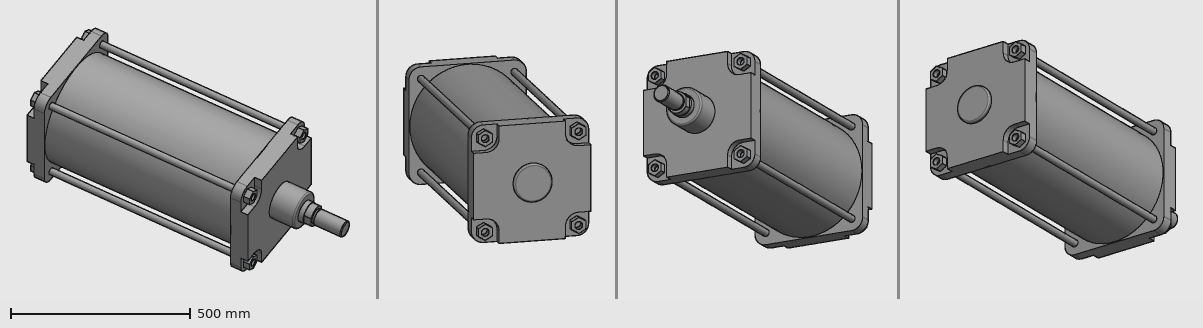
import cadquery as cq
import math


OVERALL_LENGTH = 946.0
SPIGOT_LENGTH = 10.0
CAP_THICKNESS = 57.0
BARREL_LENGTH = 607.0
BOSS_LENGTH = 80.0
COLLAR_LENGTH = 16.0
FLATS_LENGTH = 23.0
NECK_LENGTH = 7.0

REAR_CAP_X = SPIGOT_LENGTH
BARREL_X = REAR_CAP_X + CAP_THICKNESS
FRONT_CAP_X = BARREL_X + BARREL_LENGTH
BOSS_X = FRONT_CAP_X + CAP_THICKNESS
COLLAR_X = BOSS_X + BOSS_LENGTH
FLATS_X = COLLAR_X + COLLAR_LENGTH
NECK_X = FLATS_X + FLATS_LENGTH
THREAD_X = NECK_X + NECK_LENGTH

CAP_SIDE = 340.0
TIE_ROD_SPACING = 271.0
CAP_CORNER_RADIUS = (CAP_SIDE - TIE_ROD_SPACING) / 2
POCKET_SIDE = 74.0
POCKET_RADIUS = 38.0
POCKET_DEPTH = 23.0
BOSS_DIAMETER = 112.0
BOSS_FILLET = 5.0

BARREL_DIAMETER = 335.0

ROD_DIAMETER = 66.0
FLATS_DIAMETER = 62.0
FLATS_WIDTH = 55.0
THREAD_DIAMETER = 49.0
NECK_DIAMETER = 45.0
THREAD_CHAMFER = 3.0

TIE_ROD_DIAMETER = 21.0
NUT_WIDTH = 41.0
NUT_HEIGHT = 20.0
NUT_HOLE_DIAMETER = TIE_ROD_DIAMETER
NUT_HOLE_DEPTH = 18.0
NUT_HOLE_CHAMFER = 1.0
HEX_SIDES = 6


def cylinder(start_x, length, diameter):
    """Cylinder along +X, centred on the main axis."""
    return cq.Workplane("YZ", origin=(start_x, 0, 0)).circle(diameter / 2).extrude(length)


def make_cap(inner_x, outward, boss_length, rod_hole_diameter=None):
    """End cap growing from its barrel face in the outward X direction (+1 or -1)."""
    cap = (
        cq.Workplane("YZ", origin=(inner_x, 0, 0))
        .rect(CAP_SIDE, CAP_SIDE)
        .extrude(outward * CAP_THICKNESS)
        .edges("|X")
        .fillet(CAP_CORNER_RADIUS)
    )

    pocket_reach = 2 * POCKET_SIDE
    pocket_floor_x = inner_x + outward * (CAP_THICKNESS - POCKET_DEPTH)
    pockets = (
        cq.Workplane("YZ", origin=(pocket_floor_x, 0, 0))
        .rect(CAP_SIDE, CAP_SIDE, forConstruction=True)
        .vertices()
        .rect(pocket_reach, pocket_reach)
        .extrude(outward * POCKET_DEPTH)
        .edges("|X")
        .fillet(POCKET_RADIUS)
    )
    tie_rod_holes = (
        cq.Workplane("YZ", origin=(inner_x, 0, 0))
        .rect(TIE_ROD_SPACING, TIE_ROD_SPACING, forConstruction=True)
        .vertices()
        .circle(TIE_ROD_DIAMETER / 2)
        .extrude(outward * CAP_THICKNESS)
    )
    cap = cap.cut(pockets).cut(tie_rod_holes)

    full_length = CAP_THICKNESS + boss_length
    boss_end = ">X" if outward > 0 else "<X"
    boss = (
        cylinder(inner_x, outward * full_length, BOSS_DIAMETER)
        .faces(boss_end)
        .edges()
        .fillet(BOSS_FILLET)
    )
    cap = cap.union(boss)

    if rod_hole_diameter is not None:
        cap = cap.cut(cylinder(inner_x, outward * full_length, rod_hole_diameter))
    return cap


def make_piston_rod():
    """Rod from the barrel end out through the front cap, ending in a thread."""
    shaft = cylinder(FRONT_CAP_X, FLATS_X - FRONT_CAP_X, ROD_DIAMETER)
    flats = cylinder(FLATS_X, FLATS_LENGTH, FLATS_DIAMETER).intersect(
        cq.Workplane("XY").box(2 * OVERALL_LENGTH, FLATS_WIDTH, FLATS_DIAMETER)
    )
    neck = cylinder(NECK_X, NECK_LENGTH, NECK_DIAMETER)
    thread = (
        cylinder(THREAD_X, OVERALL_LENGTH - THREAD_X, THREAD_DIAMETER)
        .faces(">X")
        .chamfer(THREAD_CHAMFER)
    )
    return shaft.union(flats).union(neck).union(thread)


def make_nut(seat_x, outward, y, z):
    """Hexagon nut with two corners up and down and a blind, chamfered hole in its outer face."""
    corner_diameter = NUT_WIDTH / math.cos(math.pi / HEX_SIDES)
    outer_x = seat_x + outward * NUT_HEIGHT
    outer_face = ">X" if outward > 0 else "<X"
    hexagon = (
        cq.Workplane("YZ", origin=(seat_x, y, z))
        .transformed(rotate=(0, 0, 90))
        .polygon(HEX_SIDES, corner_diameter)
        .extrude(outward * NUT_HEIGHT)
    )
    hole = (
        cq.Workplane("YZ", origin=(outer_x, y, z))
        .circle(NUT_HOLE_DIAMETER / 2)
        .extrude(-outward * NUT_HOLE_DEPTH)
    )
    return hexagon.cut(hole).faces(outer_face).edges("%CIRCLE").chamfer(NUT_HOLE_CHAMFER)


def make_tie_rod(y, z):
    """Plain rod between the two pocket floors, joined to a nut at each end."""
    rear_seat_x = REAR_CAP_X + POCKET_DEPTH
    front_seat_x = BOSS_X - POCKET_DEPTH
    shank = cylinder(rear_seat_x, front_seat_x - rear_seat_x, TIE_ROD_DIAMETER).translate((0, y, z))
    return shank.union(make_nut(rear_seat_x, -1, y, z)).union(make_nut(front_seat_x, 1, y, z))


rear_cap = make_cap(BARREL_X, -1, SPIGOT_LENGTH)
front_cap = make_cap(FRONT_CAP_X, 1, BOSS_LENGTH, ROD_DIAMETER)
barrel = cylinder(BARREL_X, BARREL_LENGTH, BARREL_DIAMETER)
piston_rod = make_piston_rod()

tie_rods = []
for side_y in (-1, 1):
    for side_z in (-1, 1):
        tie_rods.append(make_tie_rod(side_y * TIE_ROD_SPACING / 2, side_z * TIE_ROD_SPACING / 2))

result = cq.Compound.makeCompound(
    [
        rear_cap.val(),
        front_cap.val(),
        barrel.val(),
        piston_rod.val(),
        *[tie_rod.val() for tie_rod in tie_rods],
    ]
)